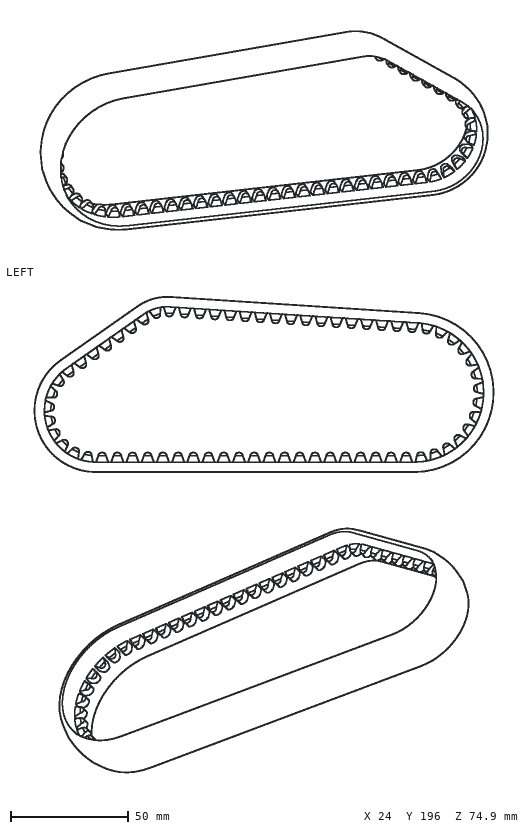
import cadquery as cq
import math

WIDTH = 24.0
LENGTH = 196.0
HEIGHT = 74.9

FRONT_DIAMETER = 68.0
FRONT_RADIUS = FRONT_DIAMETER / 2
REAR_RADIUS = 26.3
APEX_RADIUS = 21.5
APEX_Y = 41.4

THICKNESS = 4.3
CROWN_FLAT = 4.0
CROWN_RADIUS = 20.0
EDGE_FILLET = 2.0

TOOTH_COUNT = 68
TOOTH_HEIGHT = 4.1
TOOTH_WIDTH = 4.0
ROOT_LENGTH = 5.3
SHOULDER_LENGTH = 3.0
DOME_RISE = 0.8
TIP_CHAMFER_HEIGHT = 1.4
TIP_CHAMFER_WIDTH = 0.5
ROOT_EMBED = 0.5

BENDS = [
    (APEX_Y, HEIGHT / 2 - APEX_RADIUS, APEX_RADIUS - THICKNESS),
    (FRONT_RADIUS - LENGTH / 2, FRONT_RADIUS - HEIGHT / 2, FRONT_RADIUS - THICKNESS),
    (LENGTH / 2 - REAR_RADIUS, REAR_RADIUS - HEIGHT / 2, REAR_RADIUS - THICKNESS),
]


def on_bend(bend, angle):
    """Y and Z of the point on a bend whose outward normal is at this angle."""
    y, z, radius = bend
    return y + radius * math.cos(angle), z + radius * math.sin(angle)


def tangent_normal(bend, following):
    """Angle of the outward normal of the straight run joining two bends."""
    dy = following[0] - bend[0]
    dz = following[1] - bend[1]
    distance = math.hypot(dy, dz)
    return math.atan2(dz, dy) - math.acos((bend[2] - following[2]) / distance)


def loop_runs():
    """Each straight run of the inner line, together with the bend that follows it."""
    runs = []
    count = len(BENDS)
    for i in range(count):
        bend = BENDS[i]
        following = BENDS[(i + 1) % count]
        after = BENDS[(i + 2) % count]
        normal = tangent_normal(bend, following)
        turn = (tangent_normal(following, after) - normal) % (2 * math.pi)
        start = on_bend(bend, normal)
        end = on_bend(following, normal)
        runs.append({
            "start": start,
            "end": end,
            "normal": normal,
            "length": math.dist(start, end),
            "bend": following,
            "turn": turn,
            "bend_length": following[2] * turn,
        })
    return runs


RUNS = loop_runs()


def inner_path():
    """Closed inner line of the belt; on the YZ plane local x is Y and local y is Z."""
    path = cq.Workplane("YZ").moveTo(*RUNS[0]["start"])
    for run in RUNS:
        bend, normal, turn = run["bend"], run["normal"], run["turn"]
        path = path.lineTo(*run["end"])
        path = path.threePointArc(on_bend(bend, normal + turn / 2), on_bend(bend, normal + turn))
    return path.close()


def section_plane(y, z, normal):
    """Plane across the belt: local x along X, local y along the outward normal."""
    along = (0, -math.sin(normal), math.cos(normal))
    return cq.Plane(origin=(0, y, z), xDir=(1, 0, 0), normal=along)


def belt():
    """Crowned band swept round the loop."""
    half = WIDTH / 2
    flat = CROWN_FLAT / 2
    crown_centre = THICKNESS - CROWN_RADIUS
    fillet_x = half - EDGE_FILLET
    reach = CROWN_RADIUS - EDGE_FILLET
    spread = math.asin((fillet_x - flat) / reach)
    fillet_height = crown_centre + reach * math.cos(spread)

    def crown(angle):
        return flat + CROWN_RADIUS * math.sin(angle), crown_centre + CROWN_RADIUS * math.cos(angle)

    def fillet(angle):
        return fillet_x + EDGE_FILLET * math.sin(angle), fillet_height + EDGE_FILLET * math.cos(angle)

    def mirrored(point):
        return -point[0], point[1]

    crown_mid = crown(spread / 2)
    crown_end = crown(spread)
    fillet_mid = fillet((spread + math.pi / 2) / 2)
    fillet_end = fillet(math.pi / 2)
    return (
        cq.Workplane(section_plane(*RUNS[0]["start"], RUNS[0]["normal"]))
        .moveTo(-half, 0)
        .lineTo(*mirrored(fillet_end))
        .threePointArc(mirrored(fillet_mid), mirrored(crown_end))
        .threePointArc(mirrored(crown_mid), (-flat, THICKNESS))
        .lineTo(flat, THICKNESS)
        .threePointArc(crown_mid, crown_end)
        .threePointArc(fillet_mid, fillet_end)
        .lineTo(half, 0)
        .close()
        .sweep(inner_path())
    )


def tooth():
    """One tooth in section-plane axes: x across the belt, y outward, z along the belt."""
    shoulder_height = TOOTH_HEIGHT - DOME_RISE
    slope = (ROOT_LENGTH - SHOULDER_LENGTH) / 2 / shoulder_height
    root = ROOT_LENGTH / 2 + slope * ROOT_EMBED
    shoulder = SHOULDER_LENGTH / 2
    domed_profile = (
        cq.Workplane("ZY")
        .moveTo(-root, ROOT_EMBED)
        .lineTo(root, ROOT_EMBED)
        .lineTo(shoulder, -shoulder_height)
        .threePointArc((0, -TOOTH_HEIGHT), (-shoulder, -shoulder_height))
        .close()
        .extrude(TOOTH_WIDTH / 2, both=True)
    )
    half = TOOTH_WIDTH / 2
    tip_half = half - TIP_CHAMFER_WIDTH
    chamfer_start = TIP_CHAMFER_HEIGHT - TOOTH_HEIGHT
    chamfered_profile = (
        cq.Workplane("XY")
        .moveTo(-half, ROOT_EMBED)
        .lineTo(half, ROOT_EMBED)
        .lineTo(half, chamfer_start)
        .lineTo(tip_half, -TOOTH_HEIGHT)
        .lineTo(-tip_half, -TOOTH_HEIGHT)
        .lineTo(-half, chamfer_start)
        .close()
        .extrude(root, both=True)
    )
    return domed_profile.intersect(chamfered_profile).val()


def place_on_loop(distance):
    """Y, Z and outward normal at a distance along the inner line from the start of the top run."""
    for run in RUNS:
        if distance < run["length"]:
            (start_y, start_z), (end_y, end_z) = run["start"], run["end"]
            part = distance / run["length"]
            return start_y + part * (end_y - start_y), start_z + part * (end_z - start_z), run["normal"]
        distance -= run["length"]
        if distance < run["bend_length"]:
            angle = run["normal"] + distance / run["bend"][2]
            return *on_bend(run["bend"], angle), angle
        distance -= run["bend_length"]


def teeth():
    """Teeth at an equal pitch, the first at the start of the top run."""
    loop_length = sum(run["length"] + run["bend_length"] for run in RUNS)
    pitch = loop_length / TOOTH_COUNT
    pattern = tooth()
    return [pattern.moved(section_plane(*place_on_loop(i * pitch)).location) for i in range(TOOTH_COUNT)]


result = cq.Workplane(belt().val().fuse(*teeth())).solids()